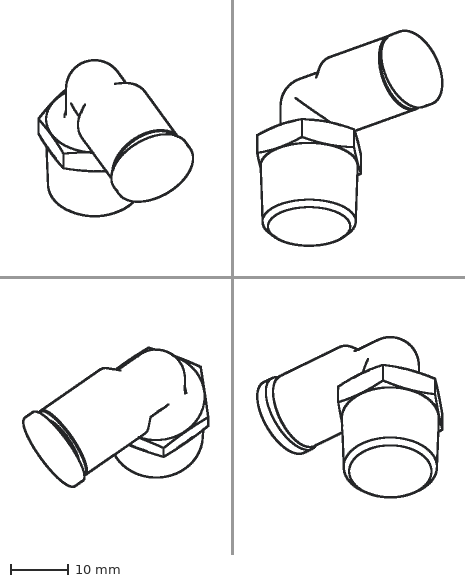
import cadquery as cq
import math


hex_across_flats = 17.0
hex_bottom = 12.0
hex_top = 16.5
hex_corner_radius = hex_across_flats / math.sqrt(3)
hex_face_inset = 0.07
hex_face_radius = hex_across_flats / 2 - hex_face_inset
hex_chamfer_angle = 20

thread_taper = 1 / 16
thread_top_radius = 8.5
thread_chamfer = 0.97

elbow_radius = 5.0
port_axis_height = 23.8
flare_top = 17.9
flare_base_radius = 5.28
flare_fillet = 0.25

body_radius = 6.8
cone_start = 5.0
cone_end = 7.0
cone_fillet = 1.0
body_end = 20.6
body_end_chamfer = 0.15

total_length = 33.4
collar_radius = 4.8
flange_start = 21.55
flange_end = total_length - hex_corner_radius
flange_half_width = 7.52
flange_half_height = 6.58
flange_fillet = 0.27


def make_thread():
    chamfer_radius = thread_top_radius - (hex_bottom - thread_chamfer) * thread_taper / 2
    profile = [
        (0, 0),
        (chamfer_radius - thread_chamfer, 0),
        (chamfer_radius, thread_chamfer),
        (thread_top_radius, hex_bottom),
        (0, hex_bottom),
    ]
    return cq.Workplane("XZ").polyline(profile).close().revolve(360, (0, 0), (0, 1))


def make_hexagon():
    """Hexagonal prism whose corners are cut back by a cone at both ends."""
    prism = (
        cq.Workplane("XY", origin=(0, 0, hex_bottom))
        .polygon(6, 2 * hex_corner_radius)
        .extrude(hex_top - hex_bottom)
    )
    drop = (hex_corner_radius - hex_face_radius) * math.tan(math.radians(hex_chamfer_angle))
    envelope_profile = [
        (0, hex_bottom),
        (hex_face_radius, hex_bottom),
        (hex_corner_radius, hex_bottom + drop),
        (hex_corner_radius, hex_top - drop),
        (hex_face_radius, hex_top),
        (0, hex_top),
    ]
    envelope = cq.Workplane("XZ").polyline(envelope_profile).close().revolve(360, (0, 0), (0, 1))
    return prism.intersect(envelope)


def make_elbow_stem():
    """Vertical elbow leg, flared and filleted where it meets the hexagon, with a domed corner."""
    leg = (
        cq.Workplane("XZ")
        .moveTo(0, hex_top)
        .lineTo(flare_base_radius + flare_fillet, hex_top)
        .radiusArc((flare_base_radius, hex_top + flare_fillet), flare_fillet)
        .lineTo(elbow_radius, flare_top)
        .lineTo(elbow_radius, port_axis_height)
        .lineTo(0, port_axis_height)
        .close()
        .revolve(360, (0, 0), (0, 1))
    )
    dome = cq.Workplane("XY", origin=(0, 0, port_axis_height)).sphere(elbow_radius)
    return leg.union(dome)


def make_port_body():
    """Horizontal elbow leg widening through a blended cone to the port cylinder."""
    half_turn = math.atan2(body_radius - elbow_radius, cone_end - cone_start) / 2
    tangent_length = cone_fillet * math.tan(half_turn)
    along = tangent_length * math.cos(2 * half_turn)
    across = tangent_length * math.sin(2 * half_turn)
    return (
        cq.Workplane("XZ", origin=(0, 0, port_axis_height))
        .lineTo(0, elbow_radius)
        .lineTo(cone_start - tangent_length, elbow_radius)
        .radiusArc((cone_start + along, elbow_radius + across), -cone_fillet)
        .lineTo(cone_end - along, body_radius - across)
        .radiusArc((cone_end + tangent_length, body_radius), cone_fillet)
        .lineTo(body_end - body_end_chamfer, body_radius)
        .lineTo(body_end, body_radius - body_end_chamfer)
        .lineTo(body_end, 0)
        .close()
        .revolve(360, (0, 0), (1, 0))
    )


def make_collar():
    neck = (
        cq.Workplane("YZ", origin=(body_end, 0, port_axis_height))
        .circle(collar_radius)
        .extrude(flange_start - body_end)
    )
    flange = (
        cq.Workplane("YZ", origin=(flange_start, 0, port_axis_height))
        .ellipse(flange_half_width, flange_half_height)
        .extrude(flange_end - flange_start)
        .faces(">X")
        .edges()
        .fillet(flange_fillet)
    )
    return neck.union(flange)


result = (
    make_thread()
    .union(make_hexagon())
    .union(make_elbow_stem())
    .union(make_port_body())
    .union(make_collar())
)